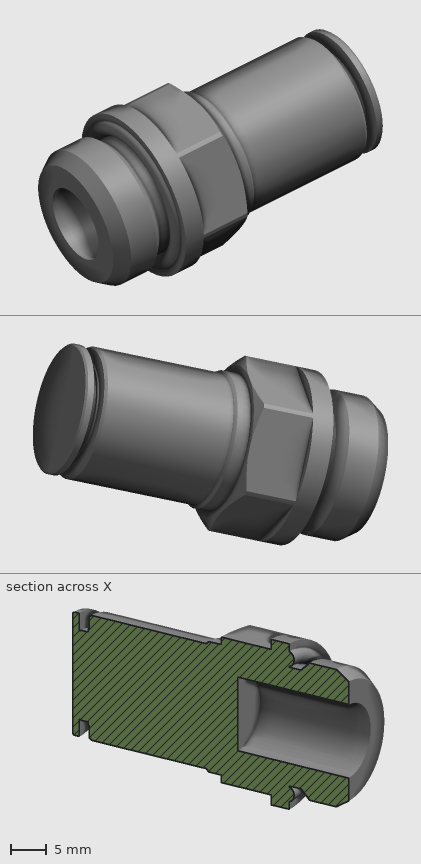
import cadquery as cq
import math

thread_chamfer_end = 2.1
thread_end = 6.6
relief_start = 8.05
flange_start = 9.98
flange_end = 13.1
hex_end = 21.5
collar_end = 23.5
body_start = 23.95
body_end = 43.55
seat_end = 43.8
lip_start = 45.2
length = 46.4

bore_radius = 5.5
relief_radius = 9.0
thread_radius = 10.4
flange_radius = 25.0 / 2
collar_radius = 9.9
body_radius = 9.45
seat_radius = 7.4
sleeve_radius = 6.8
lip_radius = 9.33

body_chamfer_length = 0.4
body_chamfer_depth = 0.3
lip_chamfer = 0.3
neck_taper_length = 0.3
neck_taper_depth = 0.15
bore_depth = 18.55

hex_across_flats = 22.0
hex_chamfer_angle = 30.0

ring_section_radius = 1.2
ring_center_radius = relief_radius + ring_section_radius
ring_center_y = 10.35

origin_y = -length / 2


def revolve_profile(points):
    """Turn a closed (radius, y) outline about the Y axis."""
    profile = cq.Workplane("XY").polyline(points).close()
    return profile.revolve(360, (0, 0, 0), (0, 1, 0))


def turned_body():
    """Thread, relief, flange, collar, body and release sleeve in one turning."""
    return revolve_profile([
        (0, 0),
        (relief_radius, 0),
        (thread_radius, thread_chamfer_end),
        (thread_radius, thread_end),
        (relief_radius, relief_start),
        (relief_radius, flange_start),
        (flange_radius, flange_start),
        (flange_radius, flange_end),
        (collar_radius, flange_end),
        (collar_radius, collar_end),
        (body_radius, body_start),
        (body_radius, body_end - body_chamfer_length),
        (body_radius - body_chamfer_depth, body_end),
        (seat_radius, body_end),
        (seat_radius, seat_end),
        (sleeve_radius, seat_end),
        (sleeve_radius, lip_start - neck_taper_length),
        (sleeve_radius - neck_taper_depth, lip_start),
        (lip_radius, lip_start),
        (lip_radius, length - lip_chamfer),
        (lip_radius - lip_chamfer, length),
        (0, length),
    ])


def hexagon():
    """Wrench hexagon with flats on +Z and -Z, its corners rounded and chamfered."""
    apothem = hex_across_flats / 2
    corner_diameter = hex_across_flats / math.cos(math.radians(30))
    prism = (
        cq.Workplane("XZ", origin=(0, flange_end, 0))
        .polygon(6, corner_diameter)
        .extrude(flange_end - hex_end)
    )
    chamfer_height = (flange_radius - apothem) * math.tan(math.radians(hex_chamfer_angle))
    envelope = revolve_profile([
        (0, flange_end),
        (flange_radius, flange_end),
        (flange_radius, hex_end - chamfer_height),
        (apothem, hex_end),
        (0, hex_end),
    ])
    return prism.intersect(envelope)


def sealing_ring():
    """O-ring half sunk into the thread-side face of the flange."""
    section = cq.Workplane("XY").center(ring_center_radius, ring_center_y).circle(ring_section_radius)
    return section.revolve(360, (-ring_center_radius, 0, 0), (-ring_center_radius, 1, 0))


def bore():
    """Blind bore from the threaded end."""
    return cq.Workplane("XZ").circle(bore_radius).extrude(-bore_depth)


fitting = turned_body().union(hexagon()).union(sealing_ring()).cut(bore())
result = fitting.translate((0, origin_y, 0))